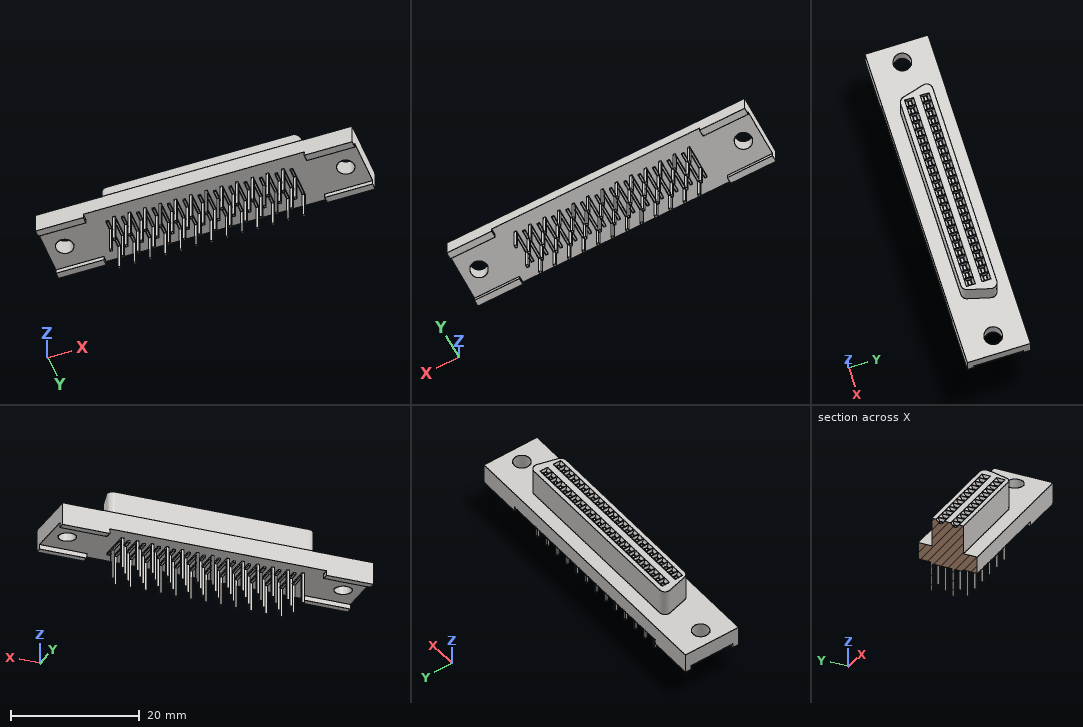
import cadquery as cq
import math

flange_length = 52.45
flange_width = 10.31
flange_thickness = 3.0
foot_height = 0.8
foot_length = 7.95
foot_width = 1.15
mounting_hole_spacing = 46.5
mounting_hole_diameter = 2.85

shell_height = 4.95
shell_width = 5.54
shell_corner_radius = 1.0
shell_side_angle = 15.0
shell_length_mid = 33.8

contact_count = 25
contact_pitch = 1.27
cavity_row_y = 1.27
contact_xs = [(i - (contact_count - 1) / 2) * contact_pitch for i in range(contact_count)]

mouth_length = 1.17
mouth_width = 1.44
mouth_depth = 0.5
mouth_end_inset = 0.18
mouth_side_inset = 0.4
slot_length = 0.76
slot_width = 0.46
slot_depth = 0.1

overall_height = 13.11
pin_row_spacing = 1.905
inner_row_y = pin_row_spacing / 2
outer_row_y = inner_row_y + pin_row_spacing
pin_length = 0.4
pin_width = 0.44
pin_embed = 0.5
tail_bar_drop = 0.3

recess_z = foot_height
flange_top_z = recess_z + flange_thickness
shell_top_z = flange_top_z + shell_height
pin_tip_z = shell_top_z - overall_height


def block(x_range, y_range, z_range):
    """Axis-aligned box spanning the three ranges."""
    size = [high - low for low, high in (x_range, y_range, z_range)]
    corner = cq.Vector(x_range[0], y_range[0], z_range[0])
    return cq.Solid.makeBox(*size, corner)


def make_flange():
    """Rectangular plate on four corner feet, with two mounting holes."""
    flange = cq.Workplane("XY").box(
        flange_length, flange_width, flange_top_z, centered=(True, True, False)
    )
    cross_channel = cq.Workplane("XY").box(
        flange_length - 2 * foot_length, flange_width, recess_z, centered=(True, True, False)
    )
    long_channel = cq.Workplane("XY").box(
        flange_length, flange_width - 2 * foot_width, recess_z, centered=(True, True, False)
    )
    holes = (
        cq.Workplane("XY")
        .rarray(mounting_hole_spacing, 1, 2, 1)
        .circle(mounting_hole_diameter / 2)
        .extrude(flange_top_z)
    )
    return flange.cut(cross_channel).cut(long_channel).cut(holes)


def make_shell():
    """Solid D-shaped shell standing on the flange."""
    half_width = shell_width / 2
    lean = half_width * math.tan(math.radians(shell_side_angle))
    half_long = shell_length_mid / 2 + lean
    half_short = shell_length_mid / 2 - lean
    return (
        cq.Workplane("XY", origin=(0, 0, flange_top_z))
        .polyline([
            (-half_short, -half_width),
            (half_short, -half_width),
            (half_long, half_width),
            (-half_long, half_width),
        ])
        .close()
        .extrude(shell_height)
        .edges("|Z")
        .fillet(shell_corner_radius)
    )


def make_cavity_cutters():
    """Tapered mouth and contact slot for every contact."""
    floor_z = shell_top_z - mouth_depth
    mouth = (
        cq.Workplane("XY", origin=(0, 0, floor_z))
        .rect(mouth_length - 2 * mouth_end_inset, mouth_width - 2 * mouth_side_inset)
        .workplane(offset=mouth_depth)
        .rect(mouth_length, mouth_width)
        .loft(ruled=True)
    )
    slot = cq.Workplane("XY", origin=(0, 0, floor_z)).rect(slot_length, slot_width).extrude(-slot_depth)
    cavity = mouth.union(slot).val()
    cutters = [
        cavity.translate(cq.Vector(x, y, 0))
        for y in (-cavity_row_y, cavity_row_y)
        for x in contact_xs
    ]
    return cq.Workplane(cq.Compound.makeCompound(cutters))


def make_pin_set(x, direction):
    """Two pins and their tail bar; direction +1 puts the outer pin on the +Y side."""
    x_range = (x - pin_length / 2, x + pin_length / 2)
    outer_y = direction * outer_row_y
    inner_y = -direction * inner_row_y
    bar_end_y = -direction * (outer_row_y - pin_width / 2)
    pin_z_range = (pin_tip_z, recess_z + pin_embed)
    pins = [
        block(x_range, (y - pin_width / 2, y + pin_width / 2), pin_z_range)
        for y in (outer_y, inner_y)
    ]
    bar_y_range = sorted((outer_y, bar_end_y))
    bar = block(x_range, bar_y_range, (recess_z - tail_bar_drop, recess_z + pin_embed))
    return pins[0].fuse(pins[1], bar).clean()


def make_pins():
    """All pin sets, alternating in direction along the connector."""
    sets = [make_pin_set(x, 1 if i % 2 == 0 else -1) for i, x in enumerate(contact_xs)]
    return cq.Workplane(cq.Compound.makeCompound(sets))


housing = make_flange().union(make_shell()).cut(make_cavity_cutters())
result = housing.union(make_pins())